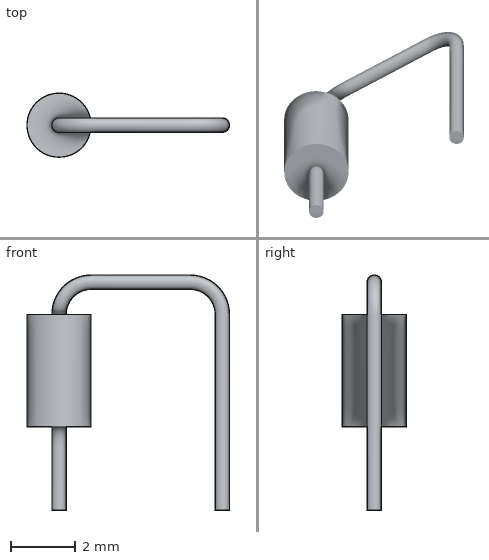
import cadquery as cq
import math

body_diameter = 2.0
body_length = 3.5
lead_diameter = 0.45
lead_pitch = 5.08
lead_below_body = 2.6
bend_radius = 1.0

body_top = lead_below_body + body_length
bridge_height = body_top + bend_radius


def make_body():
    return (
        cq.Workplane("XY")
        .workplane(offset=lead_below_body)
        .circle(body_diameter / 2)
        .extrude(body_length)
    )


def make_straight_lead():
    return cq.Workplane("XY").circle(lead_diameter / 2).extrude(lead_below_body)


def make_bent_lead():
    bend_mid_rise = bend_radius * math.sin(math.pi / 4)
    bend_mid_inset = bend_radius - bend_mid_rise
    bend_mid_height = body_top + bend_mid_rise
    centreline = (
        cq.Workplane("XZ")
        .moveTo(0, body_top)
        .threePointArc((bend_mid_inset, bend_mid_height), (bend_radius, bridge_height))
        .lineTo(lead_pitch - bend_radius, bridge_height)
        .threePointArc((lead_pitch - bend_mid_inset, bend_mid_height), (lead_pitch, body_top))
        .lineTo(lead_pitch, 0)
    )
    section = cq.Workplane("XY").workplane(offset=body_top).circle(lead_diameter / 2)
    return section.sweep(centreline)


result = make_body().union(make_straight_lead()).union(make_bent_lead())